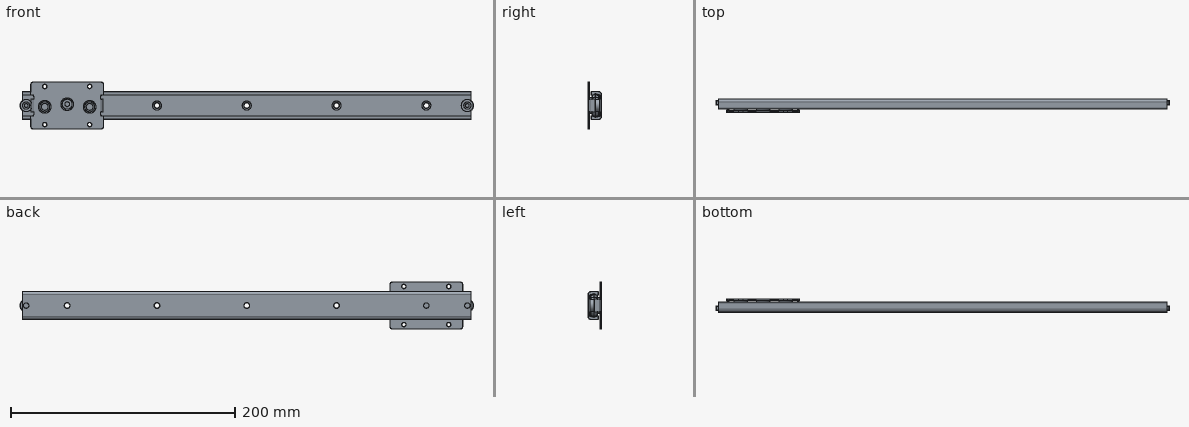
import cadquery as cq
import math

OVERALL_LENGTH = 404.0
PLATE_THICKNESS = 1.5
RAIL_BACK_TO_PLATE = 10.5
PLATE_FRONT_Y = -(RAIL_BACK_TO_PLATE + PLATE_THICKNESS) / 2
PLATE_BACK_Y = PLATE_FRONT_Y + PLATE_THICKNESS

RAIL_LENGTH = 400.0
RAIL_HALF_HEIGHT = 12.5
RAIL_DEPTH = 9.3
WEB_THICKNESS = 1.5
RACEWAY_HALF_HEIGHT = 10.3
LIP_HALF_HEIGHT = 9.3
RAIL_BACK_FILLET = 3.0
NOSE_OUTER_FILLET = 1.0
LIP_LENGTH = 1.5
RAIL_BACK_Y = PLATE_BACK_Y + RAIL_BACK_TO_PLATE
RAIL_FRONT_Y = RAIL_BACK_Y - RAIL_DEPTH
WEB_FRONT_Y = RAIL_BACK_Y - WEB_THICKNESS

HOLE_COUNT = 5
HOLE_PITCH = 80.0
HOLE_RADIUS = 2.5
HOLE_SINK_RADIUS = 4.0

PLATE_LENGTH = 65.0
PLATE_HEIGHT = 42.0
PLATE_CORNER_FILLET = 2.5
PLATE_X = -HOLE_PITCH * (HOLE_COUNT - 1) / 2
PLATE_HOLE_RADIUS = 1.8
PLATE_HOLE_SPACING_X = HOLE_PITCH / 2
PLATE_HOLE_SPACING_Z = 34.0

TAB_INSET = 0.5
TAB_HALF_WIDTH = 5.5
TAB_END_Y = 0.5
TAB_BEND_RADIUS = 1.8
RELIEF_TOP_Z = 9.3
RELIEF_DEPTH = 3.0
RELIEF_CORNER_FILLET = 1.5

ROLLER_RADIUS = 9.0
ROLLER_END_RADIUS = 7.5
ROLLER_BACK_Y = 3.5
ROLLER_FRONT_Y = -2.5
ROLLER_CREST_Y = (ROLLER_BACK_Y + ROLLER_FRONT_Y) / 2
ROLLER_OFFSET_Z = 1.2
ROLLER_SPACING = PLATE_HOLE_SPACING_X / 2
END_ROLLERS_X = (PLATE_X - ROLLER_SPACING, PLATE_X + ROLLER_SPACING)
HUB_RADIUS = 6.0
SPIGOT_RADIUS = 4.5
SPIGOT_SINK_RADIUS = 5.5
SPIGOT_SINK_DEPTH = 1.0
SPIGOT_FRONT_Y = PLATE_FRONT_Y + SPIGOT_SINK_DEPTH
SOCKET_RADIUS = 3.03
SOCKET_DEPTH = 1.5
SOCKET_END_Y = SPIGOT_FRONT_Y + SOCKET_DEPTH
ROLLER_HEX_WIDTH = 4.0

SCREW_HEAD_RADIUS = 5.45
SCREW_HEAD_FRONT_Y = 0.6
SCREW_SINK_RADIUS = 3.2
SCREW_SINK_DEPTH = 1.0
SCREW_SHANK_RADIUS = 2.5
SCREW_HEX_WIDTH = 3.2
SCREW_HEX_DEPTH = 2.0
SCREW_X = OVERALL_LENGTH / 2 - SCREW_HEAD_RADIUS


def cylinder(x, z, radius, front_y, back_y):
    """A cylinder along Y between two Y positions."""
    length = back_y - front_y
    return cq.Workplane(cq.Solid.makeCylinder(radius, length, cq.Vector(x, front_y, z), cq.Vector(0, 1, 0)))


def cone(x, z, front_radius, back_radius, front_y, back_y):
    """A truncated cone along Y, given its radius at each end."""
    length = back_y - front_y
    return cq.Workplane(
        cq.Solid.makeCone(front_radius, back_radius, length, cq.Vector(x, front_y, z), cq.Vector(0, 1, 0))
    )


def hexagon(x, z, width_across_flats, front_y, back_y):
    """A hexagonal prism along Y."""
    corner_diameter = width_across_flats / math.cos(math.pi / 6)
    plane = cq.Plane(origin=(x, front_y, z), xDir=(0, 0, 1), normal=(0, 1, 0))
    return cq.Workplane(plane).polygon(6, corner_diameter).extrude(back_y - front_y)


def make_rail():
    """C-shaped rail with a V raceway in each flange, mounting holes and screw holes."""
    upper_half = [
        (WEB_FRONT_Y, LIP_HALF_HEIGHT),
        (ROLLER_CREST_Y, RACEWAY_HALF_HEIGHT),
        (RAIL_FRONT_Y + LIP_LENGTH, LIP_HALF_HEIGHT),
        (RAIL_FRONT_Y, LIP_HALF_HEIGHT),
        (RAIL_FRONT_Y, RAIL_HALF_HEIGHT),
        (RAIL_BACK_Y, RAIL_HALF_HEIGHT),
    ]
    lower_half = [(y, -z) for y, z in reversed(upper_half)]
    rail = (
        cq.Workplane("YZ", origin=(-RAIL_LENGTH / 2, 0, 0))
        .polyline(upper_half + lower_half)
        .close()
        .extrude(RAIL_LENGTH)
    )
    rail = rail.faces(">Y").edges("|X").fillet(RAIL_BACK_FILLET)
    rail = rail.faces("<Z or >Z").edges("|X").edges("<Y").fillet(NOSE_OUTER_FILLET)
    for i in range(HOLE_COUNT):
        x = PLATE_X + i * HOLE_PITCH
        rail = rail.cut(cone(x, 0, HOLE_SINK_RADIUS, HOLE_RADIUS, WEB_FRONT_Y, RAIL_BACK_Y))
    for x in (-SCREW_X, SCREW_X):
        rail = rail.cut(cylinder(x, 0, SCREW_SHANK_RADIUS, WEB_FRONT_Y, RAIL_BACK_Y))
    return rail


def make_tab(side):
    """Strip of the plate's end bent back into the rail; side is -1 or +1."""
    outer_x = side * (PLATE_LENGTH / 2 - TAB_INSET)
    inner_x = outer_x - side * PLATE_THICKNESS
    root_x = outer_x - side * RELIEF_DEPTH
    outline = [
        (root_x, PLATE_FRONT_Y),
        (outer_x, PLATE_FRONT_Y),
        (outer_x, TAB_END_Y),
        (inner_x, TAB_END_Y),
        (inner_x, PLATE_BACK_Y),
        (root_x, PLATE_BACK_Y),
    ]
    tab = (
        cq.Workplane("XY", origin=(PLATE_X, 0, -TAB_HALF_WIDTH))
        .polyline(outline)
        .close()
        .extrude(2 * TAB_HALF_WIDTH)
    )
    bend = "|Z and <Y and " + ("<X" if side < 0 else ">X")
    return tab.edges(bend).fillet(TAB_BEND_RADIUS)


def make_plate():
    """Slider plate with fixing holes, countersunk roller holes and a bent tab at each end."""
    plate = (
        cq.Workplane("XY")
        .box(PLATE_LENGTH, PLATE_THICKNESS, PLATE_HEIGHT)
        .edges("|Y")
        .fillet(PLATE_CORNER_FILLET)
        .translate((PLATE_X, PLATE_FRONT_Y + PLATE_THICKNESS / 2, 0))
    )
    notch = (
        cq.Workplane("XY")
        .box(2 * RELIEF_DEPTH, 4 * PLATE_THICKNESS, 2 * RELIEF_TOP_Z)
        .edges("|Y")
        .fillet(RELIEF_CORNER_FILLET)
    )
    for side in (-1, 1):
        end_x = side * PLATE_LENGTH / 2
        plate = plate.cut(notch.translate((PLATE_X + end_x, PLATE_FRONT_Y, 0)))
        plate = plate.union(make_tab(side))
    for side_x in (-1, 1):
        for side_z in (-1, 1):
            x = PLATE_X + side_x * PLATE_HOLE_SPACING_X / 2
            z = side_z * PLATE_HOLE_SPACING_Z / 2
            plate = plate.cut(cylinder(x, z, PLATE_HOLE_RADIUS, PLATE_FRONT_Y, PLATE_BACK_Y))
    roller_places = [(x, -ROLLER_OFFSET_Z) for x in END_ROLLERS_X] + [(PLATE_X, ROLLER_OFFSET_Z)]
    for x, z in roller_places:
        plate = plate.cut(cone(x, z, SPIGOT_SINK_RADIUS, SPIGOT_RADIUS, PLATE_FRONT_Y, SPIGOT_FRONT_Y))
        plate = plate.cut(cylinder(x, z, SPIGOT_RADIUS, SPIGOT_FRONT_Y, PLATE_BACK_Y))
    return plate


def make_roller(x, z):
    """Roller with a crowned rim, a hub and a spigot that fills its plate hole."""
    roller = cone(x, z, ROLLER_END_RADIUS, ROLLER_RADIUS, ROLLER_FRONT_Y, ROLLER_CREST_Y)
    roller = roller.union(cone(x, z, ROLLER_RADIUS, ROLLER_END_RADIUS, ROLLER_CREST_Y, ROLLER_BACK_Y))
    roller = roller.union(cylinder(x, z, HUB_RADIUS, PLATE_BACK_Y, ROLLER_FRONT_Y))
    roller = roller.union(cylinder(x, z, SPIGOT_RADIUS, SPIGOT_FRONT_Y, PLATE_BACK_Y))
    return roller


def make_end_roller(x):
    """Fixed roller on the lower raceway, with a round socket in its spigot."""
    z = -ROLLER_OFFSET_Z
    return make_roller(x, z).cut(cylinder(x, z, SOCKET_RADIUS, SPIGOT_FRONT_Y, SOCKET_END_Y))


def make_middle_roller():
    """Adjusting roller on the upper raceway, with a hexagon socket in its spigot."""
    socket = hexagon(PLATE_X, ROLLER_OFFSET_Z, ROLLER_HEX_WIDTH, SPIGOT_FRONT_Y, SOCKET_END_Y)
    return make_roller(PLATE_X, ROLLER_OFFSET_Z).cut(socket)


def make_screw(x):
    """End-stop screw with a hexagon socket, its shank flush with the back of the rail."""
    head = cylinder(x, 0, SCREW_HEAD_RADIUS, SCREW_HEAD_FRONT_Y, WEB_FRONT_Y)
    shank = cylinder(x, 0, SCREW_SHANK_RADIUS, WEB_FRONT_Y, RAIL_BACK_Y)
    sink_y = SCREW_HEAD_FRONT_Y + SCREW_SINK_DEPTH
    sink = cone(x, 0, SCREW_SINK_RADIUS, SCREW_HEX_WIDTH / 2, SCREW_HEAD_FRONT_Y, sink_y)
    socket = hexagon(x, 0, SCREW_HEX_WIDTH, SCREW_HEAD_FRONT_Y, SCREW_HEAD_FRONT_Y + SCREW_HEX_DEPTH)
    return head.union(shank).cut(sink).cut(socket)


rail = make_rail()
plate = make_plate()
end_rollers = [make_end_roller(x) for x in END_ROLLERS_X]
middle_roller = make_middle_roller()
screws = [make_screw(x) for x in (-SCREW_X, SCREW_X)]

bodies = [rail, plate, *end_rollers, middle_roller, *screws]
result = cq.Compound.makeCompound([body.solids().val() for body in bodies])